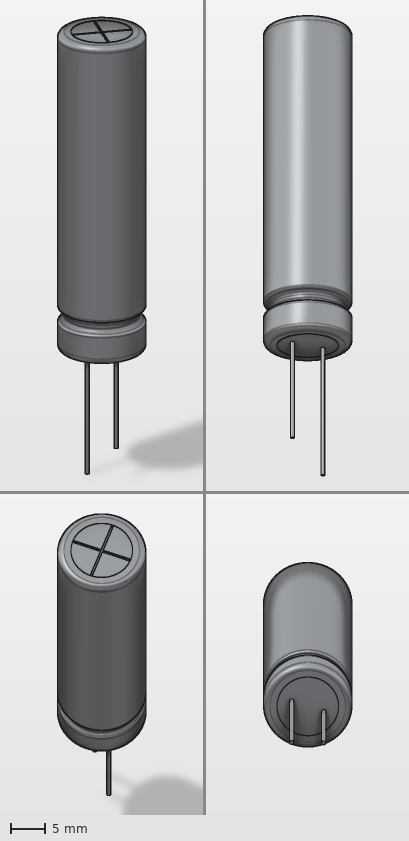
import cadquery as cq
import math


total_height = 70.0
long_lead_length = 20.0
short_lead_length = 15.0
case_height = total_height - long_lead_length
case_diameter = 13.0
rim_radius = 1.0

neck_diameter = 11.1
groove_centre_z = 5.7
groove_floor_width = 0.5
groove_flank_height = 1.1
groove_shoulder_radius = 0.5

sleeve_thickness = 0.105
sleeve_opening_diameter = 9.0

lead_diameter = 0.6
lead_spacing = 5.0

vent_score_width = 0.3
vent_score_depth = 0.2
vent_score_length = 8.7
vent_score_angles = (45, 135)

groove_depth = (case_diameter - neck_diameter) / 2
flank_sweep = 2 * math.atan2(groove_depth, groove_flank_height)
groove_root_radius = groove_flank_height / math.sin(flank_sweep) - groove_shoulder_radius


def case_form(inset):
    """Solid of revolution of the case, shrunk inward from the sleeve's outside by the inset."""
    side = case_diameter / 2 - inset
    neck = neck_diameter / 2 - inset
    bottom = inset
    top = case_height - inset
    rim = rim_radius - inset
    shoulder = groove_shoulder_radius - inset
    root = groove_root_radius + inset
    floor_low = groove_centre_z - groove_floor_width / 2
    floor_high = groove_centre_z + groove_floor_width / 2
    joint_x = side - shoulder * (1 - math.cos(flank_sweep))
    joint_rise = root * math.sin(flank_sweep)

    profile = (
        cq.Workplane("XZ")
        .moveTo(0, bottom)
        .lineTo(side - rim, bottom)
        .radiusArc((side, bottom + rim), -rim)
        .lineTo(side, floor_low - groove_flank_height)
        .radiusArc((joint_x, floor_low - joint_rise), -shoulder)
        .radiusArc((neck, floor_low), root)
        .lineTo(neck, floor_high)
        .radiusArc((joint_x, floor_high + joint_rise), root)
        .radiusArc((side, floor_high + groove_flank_height), -shoulder)
        .lineTo(side, top - rim)
        .radiusArc((side - rim, top), -rim)
        .lineTo(0, top)
        .close()
    )
    return profile.revolve(360, (0, 0, 0), (0, 1, 0))


def lead(x, length):
    """Round wire that runs down from the underside of the can to its length below Z = 0."""
    return (
        cq.Workplane("XY", origin=(x, 0, -length))
        .circle(lead_diameter / 2)
        .extrude(length + sleeve_thickness)
    )


def vent_score(angle):
    """Straight shallow cutter across the top of the can."""
    can_top = case_height - sleeve_thickness
    return (
        cq.Workplane("XY", origin=(0, 0, can_top - vent_score_depth))
        .rect(vent_score_length, vent_score_width)
        .extrude(vent_score_depth)
        .rotate((0, 0, 0), (0, 0, 1), angle)
    )


def make_can():
    """Can with its two leads and the scored vent cross."""
    can = case_form(sleeve_thickness)
    can = can.union(lead(-lead_spacing / 2, long_lead_length))
    can = can.union(lead(lead_spacing / 2, short_lead_length))
    for angle in vent_score_angles:
        can = can.cut(vent_score(angle))
    return can


def make_sleeve():
    """Thin skin around the can, open in the middle of both ends."""
    opening = cq.Workplane("XY").circle(sleeve_opening_diameter / 2).extrude(case_height)
    return case_form(0).cut(case_form(sleeve_thickness)).cut(opening)


can = make_can()
sleeve = make_sleeve()

result = cq.Compound.makeCompound([*can.solids().vals(), *sleeve.solids().vals()])